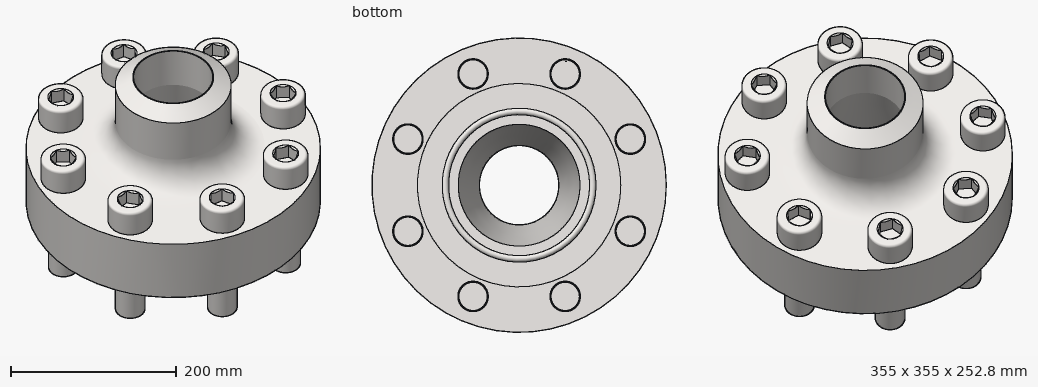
import cadquery as cq
import math

flange_dia = 355.0
flange_height = 85.0
raised_face_dia = 245.0
raised_face_height = 2.0
neck_dia = 139.7
neck_height = 112.8
weld_bevel_height = 12.8
weld_lip_dia = 97.5
hub_fillet_radius = 41.0
bore_dia = 95.5
bore_mouth_dia = 147.0
bore_straight_length = 54.3
bore_taper_angle = 12

seal_outer_dia = 185.5
seal_inner_dia = 170.0
seal_protrusion = 1.8

bolt_count = 8
bolt_circle_dia = 290.0
first_bolt_angle = 22.5
bolt_dia = 36.0
bolt_hole_dia = 37.0
bolt_length = 140.0
bolt_tip_chamfer = 1.0
head_dia = 54.0
head_height = 35.8
head_edge_radius = 3.5
socket_sides = 6
socket_corner_dia = 31.2
socket_depth = 19.0
socket_lead_angle = 45

bottom_z = -flange_height - raised_face_height
seal_section_radius = (seal_outer_dia - seal_inner_dia) / 4
seal_center_radius = (seal_outer_dia + seal_inner_dia) / 4
seal_center_z = bottom_z - seal_protrusion + seal_section_radius
bolt_angles = [first_bolt_angle + i * 360 / bolt_count for i in range(bolt_count)]


def place_on_bolt_circle(shape, angle):
    """Move a shape from the origin to its bolt position, turned with the pattern."""
    moved = shape.translate((bolt_circle_dia / 2, 0, 0))
    return moved.rotate((0, 0, 0), (0, 0, 1), angle)


def make_flange():
    """Revolved flange with filleted hub, weld bevel and tapered bore, then holes and groove."""
    neck_radius = neck_dia / 2
    hub_radius = neck_radius + hub_fillet_radius
    arc_offset = hub_fillet_radius * (1 - math.sqrt(0.5))
    taper_start_z = neck_height - bore_straight_length
    taper_length = (bore_mouth_dia - bore_dia) / 2 / math.tan(math.radians(bore_taper_angle))
    body = (
        cq.Workplane("XZ")
        .moveTo(bore_mouth_dia / 2, bottom_z)
        .lineTo(raised_face_dia / 2, bottom_z)
        .lineTo(raised_face_dia / 2, -flange_height)
        .lineTo(flange_dia / 2, -flange_height)
        .lineTo(flange_dia / 2, 0)
        .lineTo(hub_radius, 0)
        .threePointArc((neck_radius + arc_offset, arc_offset), (neck_radius, hub_fillet_radius))
        .lineTo(neck_radius, neck_height - weld_bevel_height)
        .lineTo(weld_lip_dia / 2, neck_height)
        .lineTo(bore_dia / 2, neck_height)
        .lineTo(bore_dia / 2, taper_start_z)
        .lineTo(bore_mouth_dia / 2, taper_start_z - taper_length)
        .close()
        .revolve(360, (0, 0, 0), (0, 1, 0))
    )
    hole = cq.Workplane("XY").circle(bolt_hole_dia / 2).extrude(-flange_height)
    for angle in bolt_angles:
        body = body.cut(place_on_bolt_circle(hole, angle))
    groove_depth = 2 * seal_section_radius - seal_protrusion
    groove = (
        cq.Workplane("XY", origin=(0, 0, bottom_z))
        .circle(seal_outer_dia / 2)
        .circle(seal_inner_dia / 2)
        .extrude(groove_depth)
    )
    return body.cut(groove)


def make_seal():
    """Round-section ring standing slightly proud of the raised face."""
    return (
        cq.Workplane("XZ")
        .center(seal_center_radius, seal_center_z)
        .circle(seal_section_radius)
        .revolve(360, (-seal_center_radius, 0, 0), (-seal_center_radius, 1, 0))
    )


def make_bolt(angle):
    """Socket head bolt with its head resting on z = 0 and a conical lead-in to its hex socket."""
    head = cq.Workplane("XY").circle(head_dia / 2).extrude(head_height)
    head = head.edges("%CIRCLE").fillet(head_edge_radius)
    shank = cq.Workplane("XY").circle(bolt_dia / 2).extrude(-bolt_length).faces("<Z").chamfer(bolt_tip_chamfer)
    socket = (
        cq.Workplane("XY", origin=(0, 0, head_height - socket_depth))
        .polygon(socket_sides, socket_corner_dia)
        .extrude(socket_depth)
        .rotate((0, 0, 0), (0, 0, 1), -first_bolt_angle)
    )
    lead_radius = socket_corner_dia / 2
    lead_height = lead_radius * math.tan(math.radians(socket_lead_angle))
    lead_in = (
        cq.Workplane("XZ", origin=(0, 0, head_height))
        .lineTo(lead_radius, 0)
        .lineTo(0, -lead_height)
        .close()
        .revolve(360, (0, 0, 0), (0, 1, 0))
    )
    return place_on_bolt_circle(head.union(shank).cut(socket).cut(lead_in), angle)


flange = make_flange()
seal = make_seal()
bolts = [make_bolt(angle) for angle in bolt_angles]

result = cq.Compound.makeCompound([flange.val(), seal.val(), *[bolt.val() for bolt in bolts]])